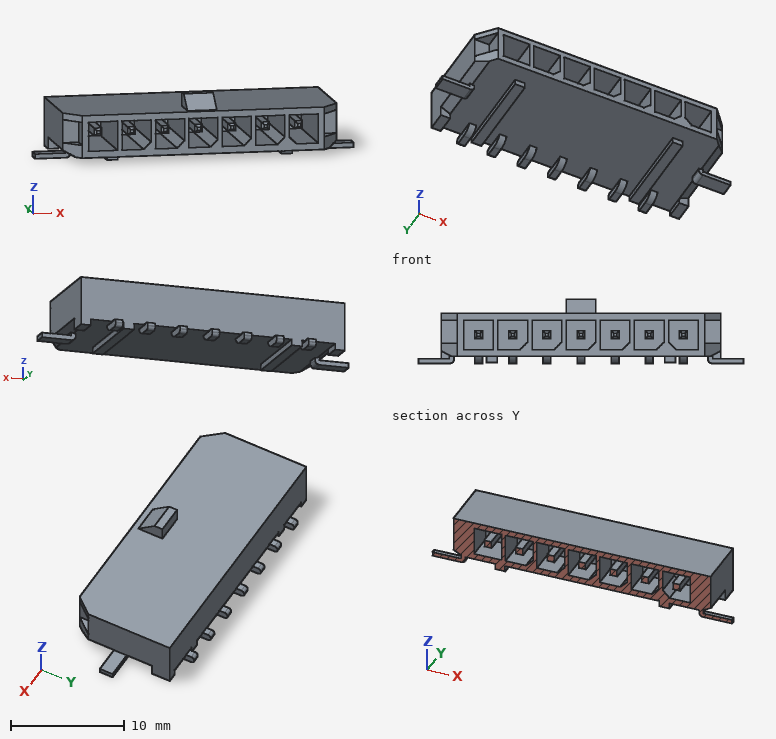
import cadquery as cq


overall_width = 28.65
overall_height = 5.67

housing_width = 24.63
housing_depth = 9.9
housing_bottom = 0.63
housing_height = 3.8
housing_top = housing_bottom + housing_height
half_width = housing_width / 2
roof_thickness = 0.6

corner_width = 1.43
corner_depth = 1.7
notch_sill = 1.15
notch_floor = housing_bottom + notch_sill
notch_roof = housing_top - roof_thickness

side_slope_width = 0.92
side_slope_height = 0.5
foot_clearance = 0.1
foot_width = side_slope_width
foot_depth = 1.8
foot_front = housing_depth - foot_depth

rail_width = 0.97
rail_offset = 7.85
rail_front = 1.63

pin_count = 7
pin_pitch = 3.0
cavity_size = 2.6
cavity_depth = 7.45
cavity_key = 0.65
cavity_center_z = housing_top - roof_thickness - cavity_size / 2

pin_size = 0.7
pin_recess = 2
pin_tip_length = 0.25
pin_tip_size = 0.3
pin_root = 0.57
tail_reach = 0.8
tail_tip_radius = 0.32
tail_flat_under_housing = 0.5
tail_bend_start = housing_depth - tail_flat_under_housing
tail_bend_radius = 1.3

latch_width = 2.63
latch_height = overall_height - housing_top
latch_front = 0.57
latch_crest_front = 2.2
latch_back = 3.0

nail_width = 1.3
nail_thickness = 0.43
nail_center_y = 4.6
nail_length = 3.15
nail_inner_x = overall_width / 2 - nail_length
nail_bend_radius = 0.4


def box_between(x_range, y_range, z_range):
    """Box spanning the given (low, high) ranges."""
    sizes = [high - low for low, high in (x_range, y_range, z_range)]
    corner = (x_range[0], y_range[0], z_range[0])
    return cq.Workplane("XY").box(*sizes, centered=False).translate(corner)


def both_sides(right_part):
    """The part at +X together with its mirror image at -X."""
    return right_part.union(right_part.mirror("YZ"))


def make_housing():
    outline = [
        (-half_width + corner_width, 0),
        (half_width - corner_width, 0),
        (half_width, corner_depth),
        (half_width, housing_depth),
        (-half_width, housing_depth),
        (-half_width, corner_depth),
    ]
    block = (
        cq.Workplane("XY", origin=(0, 0, housing_bottom))
        .polyline(outline)
        .close()
        .extrude(housing_height)
    )

    notch = box_between(
        (half_width - corner_width, half_width), (0, corner_depth), (notch_floor, notch_roof)
    )
    slope = (
        cq.Workplane("XZ")
        .polyline([
            (half_width - side_slope_width, housing_bottom),
            (half_width, housing_bottom),
            (half_width, housing_bottom + side_slope_height),
        ])
        .close()
        .extrude(-foot_front)
    )
    return block.cut(both_sides(notch)).cut(both_sides(slope))


def make_supports():
    """Feet at the rear corners and rails that keep the housing off the board."""
    support_height = (foot_clearance, housing_bottom + side_slope_height)
    foot = box_between((half_width - foot_width, half_width), (foot_front, housing_depth), support_height)
    rail = box_between(
        (rail_offset - rail_width / 2, rail_offset + rail_width / 2),
        (rail_front, housing_depth),
        (foot_clearance, housing_bottom),
    )
    return both_sides(foot).union(both_sides(rail))


def make_cavity(x, key_side):
    """Square cavity; key_side is +1 or -1 for a cut lower corner on that side, 0 for none."""
    cavity = (
        cq.Workplane("XZ", origin=(x, 0, cavity_center_z))
        .rect(cavity_size, cavity_size)
        .extrude(-cavity_depth)
    )
    if key_side == 0:
        return cavity
    lower_edges = cavity.faces("<Z").edges(">X" if key_side > 0 else "<X")
    return lower_edges.chamfer(cavity_key)


def make_pin(x):
    """Straight pin with a tapered tip, rooted in the back wall of the cavity."""
    tip_base = pin_recess + pin_tip_length
    tip = (
        cq.Workplane("XZ", origin=(x, pin_recess, cavity_center_z))
        .rect(pin_tip_size, pin_tip_size)
        .workplane(offset=-pin_tip_length)
        .rect(pin_size, pin_size)
        .loft(ruled=True)
    )
    shank = (
        cq.Workplane("XZ", origin=(x, tip_base, cavity_center_z))
        .rect(pin_size, pin_size)
        .extrude(-(cavity_depth + pin_root - tip_base))
    )
    return tip.union(shank)


def make_tail(x):
    """Solder tail that bends down out of the housing and runs rearward on the board."""
    tail_end = housing_depth + tail_reach
    leg_front = tail_bend_start - tail_bend_radius
    inner_radius = tail_bend_radius - pin_size
    leg_top = housing_bottom + tail_bend_radius
    bend_center = cq.Vector(tail_bend_start, tail_bend_radius)
    diagonal = cq.Vector(-1, -1).normalized()
    outer_middle = bend_center + diagonal * tail_bend_radius
    inner_middle = bend_center + diagonal * inner_radius
    tail = (
        cq.Workplane("YZ", origin=(x - pin_size / 2, 0, 0))
        .moveTo(leg_front, leg_top)
        .lineTo(leg_front, tail_bend_radius)
        .threePointArc((outer_middle.x, outer_middle.y), (tail_bend_start, 0))
        .lineTo(tail_end, 0)
        .lineTo(tail_end, pin_size)
        .lineTo(tail_bend_start, pin_size)
        .threePointArc((inner_middle.x, inner_middle.y), (leg_front + pin_size, tail_bend_radius))
        .lineTo(leg_front + pin_size, leg_top)
        .close()
        .extrude(pin_size)
    )
    return tail.faces(">Y").edges("|X").fillet(tail_tip_radius)


def make_latch():
    profile = [
        (latch_front, housing_top),
        (latch_crest_front, housing_top + latch_height),
        (latch_back, housing_top + latch_height),
        (latch_back, housing_top),
    ]
    return cq.Workplane("YZ").polyline(profile).close().extrude(latch_width / 2, both=True)


def make_nail():
    """L-shaped solder nail on the +X side: a flat tab and a leg up into the housing."""
    y_range = (nail_center_y - nail_width / 2, nail_center_y + nail_width / 2)
    tab = box_between((nail_inner_x, overall_width / 2), y_range, (0, nail_thickness))
    leg = box_between(
        (nail_inner_x, nail_inner_x + nail_thickness),
        y_range,
        (0, housing_bottom + side_slope_height),
    )
    return tab.union(leg).edges("|Y and <X and <Z").fillet(nail_bend_radius)


pin_positions = [(index - (pin_count - 1) / 2) * pin_pitch for index in range(pin_count)]
key_sides = [0] + [1] * (pin_count - 2) + [-1]

result = make_housing().union(make_supports()).union(make_latch()).union(both_sides(make_nail()))
for pin_x, key_side in zip(pin_positions, key_sides):
    result = result.cut(make_cavity(pin_x, key_side))
    result = result.union(make_pin(pin_x)).union(make_tail(pin_x))